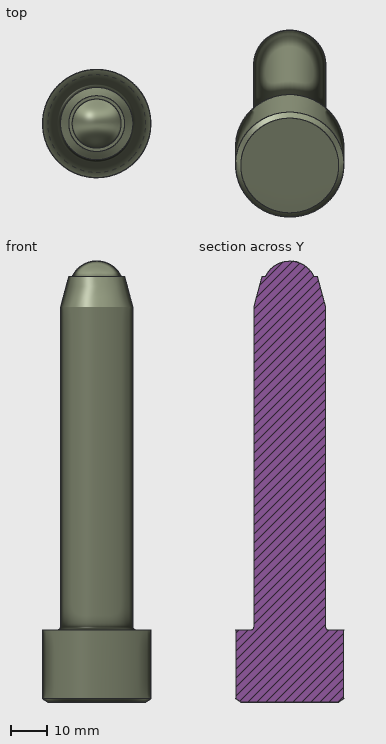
import cadquery as cq
import math

total_height = 122.0
head_diameter = 30.0
head_height = 20.0
shaft_diameter = 20.0

head_chamfer_height = 1.0
head_chamfer_width = 1.5
root_fillet = 0.9

taper_height = 8.5
taper_angle = math.radians(15)
cap_height = 4.3
cap_base_diameter = 13.5

head_radius = head_diameter / 2
shaft_radius = shaft_diameter / 2
cap_base_radius = cap_base_diameter / 2
nose_top = total_height - cap_height
taper_start = nose_top - taper_height
nose_radius = shaft_radius - taper_height * math.tan(taper_angle)

sphere_radius = (cap_base_radius**2 + cap_height**2) / (2 * cap_height)
sphere_center = total_height - sphere_radius
cap_mid_angle = math.atan2(cap_base_radius, nose_top - sphere_center) / 2
cap_mid_point = (
    sphere_radius * math.sin(cap_mid_angle),
    sphere_center + sphere_radius * math.cos(cap_mid_angle),
)

fillet_inset = root_fillet * (1 - math.sqrt(0.5))
fillet_mid_point = (shaft_radius + fillet_inset, head_height + fillet_inset)

half_profile = (
    cq.Workplane("XZ")
    .moveTo(0, 0)
    .lineTo(head_radius - head_chamfer_width, 0)
    .lineTo(head_radius, head_chamfer_height)
    .lineTo(head_radius, head_height)
    .lineTo(shaft_radius + root_fillet, head_height)
    .threePointArc(fillet_mid_point, (shaft_radius, head_height + root_fillet))
    .lineTo(shaft_radius, taper_start)
    .lineTo(nose_radius, nose_top)
    .lineTo(cap_base_radius, nose_top)
    .threePointArc(cap_mid_point, (0, total_height))
    .close()
)

result = half_profile.revolve(360, (0, 0), (0, 1))